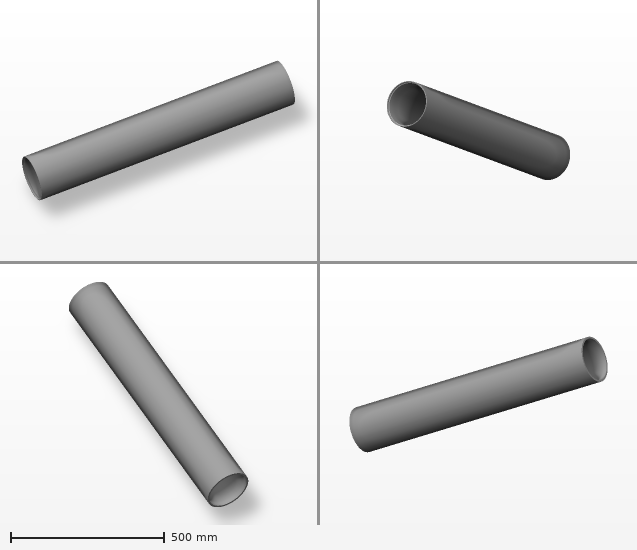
import cadquery as cq

length = 914.0
outer_diameter = 153.0
bore_diameter = 140.0

recess_diameter = 146.0
recess_depth = 5.5
taper_start_diameter = 141.0
taper_start_depth = 7.0
taper_end_depth = 20.0

rim_chamfer = 1.0

outer_radius = outer_diameter / 2
bore_radius = bore_diameter / 2
recess_radius = recess_diameter / 2
taper_start_radius = taper_start_diameter / 2
mouth_y = -length / 2
far_end_y = length / 2

wall_section = [
    (outer_radius - rim_chamfer, mouth_y),
    (outer_radius, mouth_y + rim_chamfer),
    (outer_radius, far_end_y),
    (bore_radius, far_end_y),
    (bore_radius, mouth_y + taper_end_depth),
    (taper_start_radius, mouth_y + taper_start_depth),
    (recess_radius, mouth_y + recess_depth),
    (recess_radius, mouth_y + rim_chamfer),
    (recess_radius + rim_chamfer, mouth_y),
]

tube_axis_start = (0, 0, 0)
tube_axis_end = (0, 1, 0)
result = cq.Workplane("XY").polyline(wall_section).close().revolve(360, tube_axis_start, tube_axis_end)